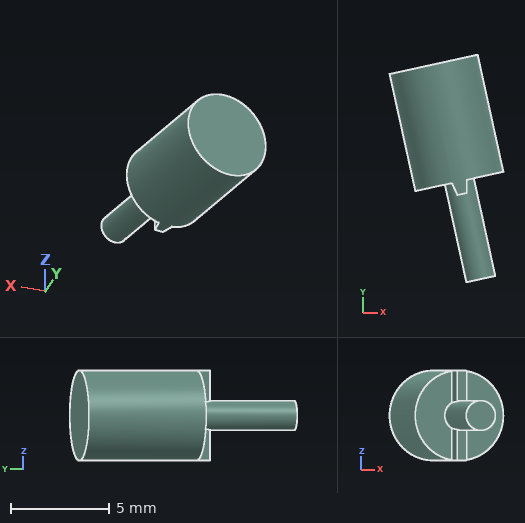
import cadquery as cq
import math

body_diameter = 4.6
body_length = 6.11
pin_diameter = 1.52
pin_length = 5.09
key_height = 0.65
key_tip_width = 0.49
key_flank_angle = 12.4
tilt_angle = 12.4

key_base_width = key_tip_width + 2 * key_height * math.tan(math.radians(key_flank_angle))


def cylinder_along_y(diameter, y_start, y_end):
    """Cylinder on the Y axis between two Y positions."""
    return (
        cq.Workplane("XZ", origin=(0, y_end, 0))
        .circle(diameter / 2)
        .extrude(y_end - y_start)
    )


def make_key():
    """Tapered key across the end face, with its ends flush with the body's round side."""
    bar = (
        cq.Workplane("XY")
        .polyline([
            (-key_base_width / 2, 0),
            (-key_tip_width / 2, -key_height),
            (key_tip_width / 2, -key_height),
            (key_base_width / 2, 0),
        ])
        .close()
        .extrude(body_diameter / 2, both=True)
    )
    return bar.intersect(cylinder_along_y(body_diameter, -key_height, 0))


body = cylinder_along_y(body_diameter, 0, body_length)
pin = cylinder_along_y(pin_diameter, -pin_length, body_length)

result = body.union(make_key()).union(pin).clean()
result = result.rotate((0, 0, 0), (0, 0, 1), tilt_angle)